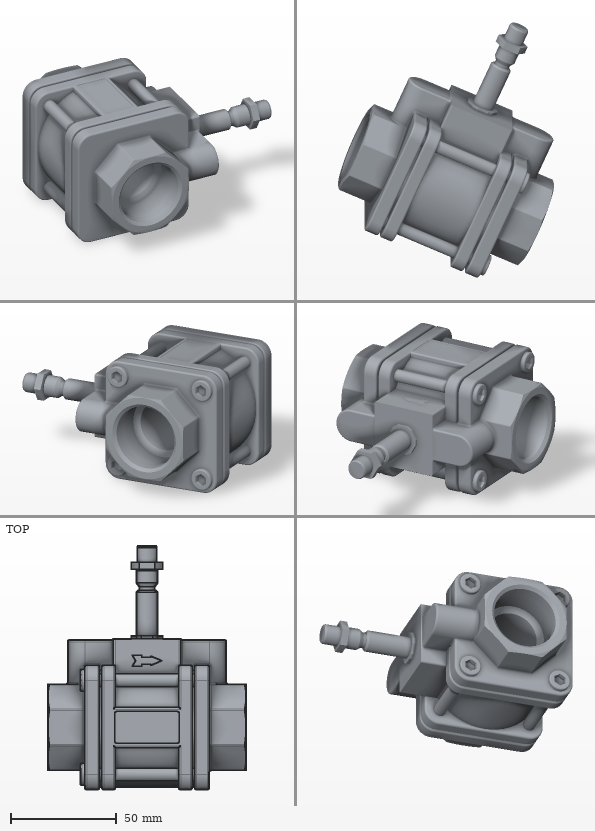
import cadquery as cq
import math


plate_size = 59.0
plate_corner_radius = 7.2
end_plate_inner_x = 22.5
end_plate_outer_x = 29.5
body_plate_inner_x = 15.0
body_plate_outer_x = 21.4
plate_edge_round = 0.9

body_radius = 28.3
pad_width = 19.2
label_length = 30.5
label_width = 15.0
label_corner_radius = 0.9
label_depth = 0.2

block_size_x = 31.8
block_size_z = 31.6
block_edge_round = 0.8
block_top_y = 41.9
boss_length = 75.1
boss_width = 16.2
boss_root_round = 0.9
boss_top_y = 41.5
boss_edge_round = 0.9

arrow_length = 13.9
arrow_head_length = 5.1
arrow_tail_length = 4.4
arrow_tail_width = 5.1
arrow_head_width = 4.4
arrow_shaft_width = 3.1
arrow_notch = 1.5
arrow_center_y = 31.5
arrow_height = 0.2

length = 94.0
octagon_width = 40.9
octagon_edge_round = 0.9
end_chamfer_radius = 20.2
end_chamfer_length = 0.8
root_round = 0.9

bore_radius = 12.4
thread_radius = 15.4
mouth_radius = 16.9
mouth_depth = 1.5
thread_depth = 19.0
thread_end_length = 1.7

bolt_spacing = 44.6
rod_radius = 3.0
head_radius = 5.2
head_height = 2.1
head_round = 0.7
socket_corner_diameter = 6.2
socket_depth = 2.9
socket_cone_height = 1.7

overall_depth = 115.5
stem_top_y = overall_depth - plate_size / 2
stem_radius = 5.1
stem_tip_radius = 4.7
stem_groove_radius = 3.7
stem_chamfer = 0.9
stem_tip_chamfer = 0.5
nut_bottom_y = 74.8
nut_top_y = 78.3
nut_flats = 13.0
collar_top_y = 74.3
collar_bottom_y = 68.5
groove_top_y = 66.5
groove_bottom_y = 64.9
flange_top_y = 43.3
flange_flats = 14.3
flange_corner_chamfer = 1.5

end_x = length / 2

tolerance = 0.01


def along_x(start_x):
    """Plane whose sketch axes are Y and Z and whose normal is +X."""
    return cq.Workplane("YZ", origin=(start_x, 0, 0))


def along_y(start_y):
    """Plane whose sketch axes are X and -Z and whose normal is +Y."""
    return cq.Workplane(cq.Plane(origin=(0, start_y, 0), xDir=(1, 0, 0), normal=(0, 1, 0)))


def turned_about_x(profile):
    """Solid of revolution about X from (x, radius) points."""
    return cq.Workplane("XY").polyline(profile).close().revolve(360, (0, 0, 0), (1, 0, 0))


def plate(x_min, x_max):
    """Square plate with rounded corners and rounded rims."""
    block = along_x(x_min).rect(plate_size, plate_size).extrude(x_max - x_min)
    block = block.edges("|X").fillet(plate_corner_radius)
    return block.faces("<X or >X").edges().fillet(plate_edge_round)


def body():
    """Barrel with a raised pad on top; the pad carries a shallow label recess."""
    barrel = along_x(-end_plate_outer_x).circle(body_radius).extrude(2 * end_plate_outer_x)
    pad_length = body_plate_inner_x + body_plate_outer_x
    pad = cq.Workplane("XY").rect(pad_length, pad_width).extrude(plate_size / 2)
    pad = pad.edges("|X and >Z").fillet(plate_edge_round)
    label = (
        cq.Workplane("XY", origin=(0, 0, plate_size / 2 - label_depth))
        .rect(label_length, label_width)
        .extrude(label_depth)
        .edges("|Z")
        .fillet(label_corner_radius)
    )
    return barrel.union(pad).cut(label)


def boss():
    """Cross boss with round ends, running along X behind the barrel."""
    slot = along_y(0).slot2D(boss_length, boss_width).extrude(boss_top_y)
    return slot.faces(">Y").edges().fillet(boss_edge_round)


def flow_arrow():
    """Raised arrow pointing along +X, with a notched tail."""
    tail_x = -arrow_length / 2
    tip_x = arrow_length / 2
    head_x = tip_x - arrow_head_length
    step_x = tail_x + arrow_tail_length
    half_tail = arrow_tail_width / 2
    half_head = arrow_head_width / 2
    half_shaft = arrow_shaft_width / 2
    upper = [
        (tail_x, half_tail),
        (step_x, half_tail),
        (step_x, half_shaft),
        (head_x, half_shaft),
        (head_x, half_head),
    ]
    lower = [(x, -y) for x, y in reversed(upper)]
    outline = upper + [(tip_x, 0)] + lower + [(tail_x + arrow_notch, 0)]
    return (
        cq.Workplane("XY", origin=(0, arrow_center_y, block_size_z / 2))
        .polyline(outline)
        .close()
        .extrude(arrow_height)
    )


def connection_end():
    """Octagonal end on the +X side."""
    across_corners = octagon_width / math.cos(math.pi / 8)
    octagon = (
        along_x(end_plate_inner_x)
        .transformed(rotate=(0, 0, 180 / 8))
        .polygon(8, across_corners)
        .extrude(end_x - end_plate_inner_x)
        .edges("|X")
        .fillet(octagon_edge_round)
    )
    corner_radius = across_corners / 2
    profile = [
        (0, 0),
        (0, corner_radius),
        (end_x - end_chamfer_length, corner_radius),
        (end_x, end_chamfer_radius),
        (end_x, 0),
    ]
    envelope = turned_about_x(profile)
    return octagon.intersect(envelope)


def bore():
    """Through bore with a threaded seat, a conical shoulder and a chamfered mouth at each end."""
    profile = [
        (0, 0),
        (0, bore_radius),
        (end_x - thread_depth - thread_end_length, bore_radius),
        (end_x - thread_depth, thread_radius),
        (end_x - mouth_depth, thread_radius),
        (end_x, mouth_radius),
        (end_x, 0),
    ]
    half = turned_about_x(profile)
    return half.union(half.mirror("YZ"))


def bolt():
    """Rod through all plates with a round head on the -X side."""
    rod = along_x(-end_plate_outer_x).circle(rod_radius).extrude(2 * end_plate_outer_x)
    head = along_x(-end_plate_outer_x - head_height).circle(head_radius).extrude(head_height)
    head = head.faces("<X").edges().fillet(head_round)
    return rod.union(head)


def socket():
    """Hexagonal socket with a conical floor."""
    mouth_x = -end_plate_outer_x - head_height
    floor_x = mouth_x + socket_depth
    hexagon = (
        along_x(mouth_x)
        .transformed(rotate=(0, 0, 90))
        .polygon(6, socket_corner_diameter)
        .extrude(socket_depth + socket_cone_height)
    )
    radius = socket_corner_diameter / 2
    profile = [(mouth_x, 0), (mouth_x, radius), (floor_x, radius), (floor_x + socket_cone_height, 0)]
    envelope = turned_about_x(profile)
    return hexagon.intersect(envelope)


def at_corners(shape):
    """Copies of a shape at the four corners of the bolt square."""
    offset = bolt_spacing / 2
    copies = cq.Workplane("XY")
    for y in (-offset, offset):
        for z in (-offset, offset):
            copies = copies.union(shape.translate((0, y, z)))
    return copies


def stem():
    """Turned stem with a hexagonal nut near the tip and a hexagonal flange at its foot."""
    profile = [
        (0, 0),
        (stem_radius, 0),
        (stem_radius, groove_bottom_y - stem_chamfer),
        (stem_radius - stem_chamfer, groove_bottom_y),
        (stem_groove_radius, groove_bottom_y),
        (stem_groove_radius, groove_top_y),
        (stem_radius, collar_bottom_y),
        (stem_radius, collar_top_y),
        (stem_groove_radius, collar_top_y),
        (stem_groove_radius, nut_bottom_y),
        (stem_tip_radius, nut_bottom_y),
        (stem_tip_radius, stem_top_y - stem_chamfer),
        (stem_tip_radius - stem_tip_chamfer, stem_top_y),
        (0, stem_top_y),
    ]
    shaft = cq.Workplane("XY").polyline(profile).close().revolve(360, (0, 0, 0), (0, 1, 0))
    nut_corners = nut_flats / math.cos(math.pi / 6)
    nut = along_y(nut_bottom_y).polygon(6, nut_corners).extrude(nut_top_y - nut_bottom_y)
    flange = (
        along_y(0)
        .polygon(6, flange_flats / math.cos(math.pi / 6))
        .extrude(flange_top_y)
        .edges("|Y")
        .chamfer(flange_corner_chamfer)
    )
    return shaft.union(nut).union(flange)


def end_cover():
    """End plate and connection end on the +X side, blended into the cross boss."""
    cover = plate(end_plate_inner_x, end_plate_outer_x).union(connection_end())
    reach = octagon_width / 2 + root_round
    octagon_root = cq.selectors.BoxSelector(
        (end_plate_outer_x - tolerance, -reach, -reach),
        (end_plate_outer_x + tolerance, reach, reach),
        boundingbox=True,
    )
    cover = cover.edges(octagon_root).fillet(root_round).union(boss())
    boss_root = cq.selectors.BoxSelector(
        (end_plate_inner_x - tolerance, octagon_width / 2 - tolerance, -boss_width / 2 - tolerance),
        (boss_length / 2 + boss_root_round, plate_size / 2 + tolerance, boss_width / 2 + tolerance),
        boundingbox=True,
    )
    return cover.edges(boss_root).fillet(boss_root_round)


def stem_block():
    """Square block around the stem, blended into the cross boss."""
    block = along_y(0).rect(block_size_x, block_size_z).extrude(block_top_y)
    block = block.edges("|Y").fillet(block_edge_round).union(boss())
    block_root = cq.selectors.BoxSelector(
        (-block_size_x / 2 - tolerance, 0, -boss_width / 2 - tolerance),
        (block_size_x / 2 + tolerance, boss_top_y, boss_width / 2 + tolerance),
        boundingbox=True,
    )
    return block.edges(block_root).edges("|Y").fillet(boss_root_round)


right_cover = end_cover()
result = body().union(stem_block()).union(right_cover).union(right_cover.mirror("YZ"))
result = result.union(plate(body_plate_inner_x, body_plate_outer_x))
result = result.union(plate(-body_plate_outer_x, -body_plate_inner_x))
result = result.union(flow_arrow()).union(stem())
result = result.union(at_corners(bolt())).cut(at_corners(socket())).cut(bore())